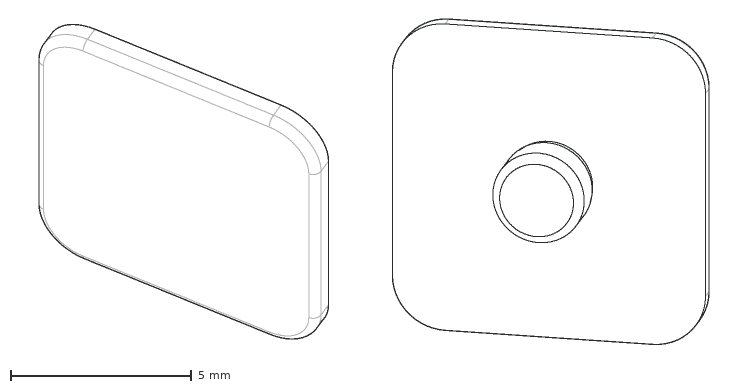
import cadquery as cq

plate_side = 8.9
plate_thickness = 0.685
corner_radius = 1.5
face_fillet = 0.25

total_depth = 2.23
neck_radius = 1.25
neck_length = 0.3
head_radius = 1.3
head_chamfer = 0.25
head_start = plate_thickness + neck_length
head_length = total_depth - head_start


def make_plate():
    plate = cq.Workplane("XY").box(plate_side, plate_thickness, plate_side, centered=(True, False, True))
    return plate.edges("|Y").fillet(corner_radius).faces("<Y").edges().fillet(face_fillet)


def back_cylinder(radius, start, length):
    """Cylinder along +Y, beginning at Y = start."""
    return cq.Workplane("XZ", origin=(0, start, 0)).circle(radius).extrude(-length)


def make_stud():
    neck = back_cylinder(neck_radius, plate_thickness, neck_length)
    head = back_cylinder(head_radius, head_start, head_length)
    return neck.union(head.faces(">Y").edges().chamfer(head_chamfer))


result = make_plate().union(make_stud())